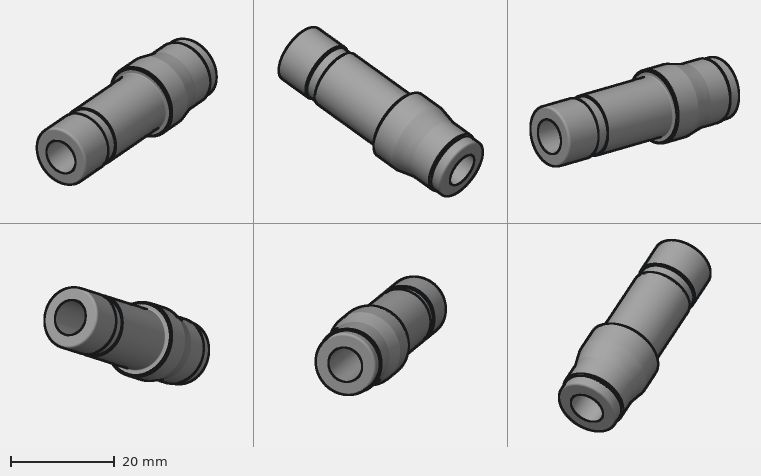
import cadquery as cq

length = 43.0
bore_radius = 3.45

stem_radius = 6.0
stem_end_round = 0.47
groove_radius = 5.75
groove_start = 7.3
groove_end = 9.75
groove_lead = stem_radius - groove_radius

collar_radius = 7.33
collar_start = 26.15
collar_chamfer = 0.3
collar_root_round = 0.2
taper_start = 31.5
taper_end = 35.4
sleeve_radius = 6.45
sleeve_end = 40.2

neck_radius = 5.5
cap_radius = 6.2
cap_start = 40.6
cap_round = 0.47


def quarter_round_middle(center_radius, center_y, round_radius, radial_sign, axial_sign):
    """Midpoint of a quarter round, on the given diagonal from its centre."""
    offset = round_radius / 2**0.5
    return center_radius + radial_sign * offset, center_y + axial_sign * offset


stem_round_middle = quarter_round_middle(
    stem_radius - stem_end_round, stem_end_round, stem_end_round, 1, -1
)
root_round_middle = quarter_round_middle(
    stem_radius + collar_root_round, collar_start - collar_root_round, collar_root_round, -1, 1
)
cap_round_middle = quarter_round_middle(
    cap_radius - cap_round, length - cap_round, cap_round, 1, 1
)

half_section = (
    cq.Workplane("XY")
    .moveTo(bore_radius, 0)
    .lineTo(stem_radius - stem_end_round, 0)
    .threePointArc(stem_round_middle, (stem_radius, stem_end_round))
    .lineTo(stem_radius, groove_start)
    .lineTo(groove_radius, groove_start + groove_lead)
    .lineTo(groove_radius, groove_end)
    .lineTo(stem_radius, groove_end)
    .lineTo(stem_radius, collar_start - collar_root_round)
    .threePointArc(root_round_middle, (stem_radius + collar_root_round, collar_start))
    .lineTo(collar_radius - collar_chamfer, collar_start)
    .lineTo(collar_radius, collar_start + collar_chamfer)
    .lineTo(collar_radius, taper_start)
    .lineTo(sleeve_radius, taper_end)
    .lineTo(sleeve_radius, sleeve_end)
    .lineTo(neck_radius, sleeve_end)
    .lineTo(neck_radius, cap_start)
    .lineTo(cap_radius, cap_start)
    .lineTo(cap_radius, length - cap_round)
    .threePointArc(cap_round_middle, (cap_radius - cap_round, length))
    .lineTo(bore_radius, length)
    .close()
)

result = half_section.revolve(360, (0, 0, 0), (0, 1, 0)).translate((0, -length / 2, 0))